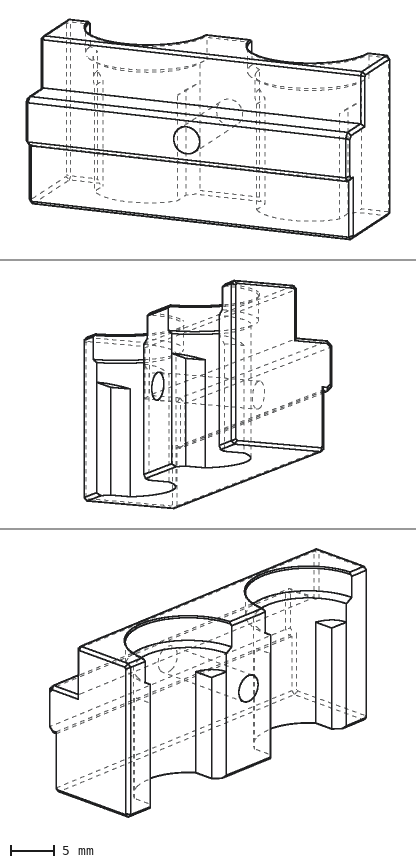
import cadquery as cq
import math

LENGTH = 40.0
DEPTH = 12.7
HEIGHT = 19.0
EDGE_CHAMFER = 0.38

RAIL_BOTTOM = 7.1
RAIL_TOP = 12.9
RAIL_CHAMFER = 0.6
LOWER_FRONT = 1.0
UPPER_FRONT = 4.5

HOLE_DIAMETER = 3.2
HOLE_HEIGHT = (RAIL_BOTTOM + RAIL_TOP) / 2

CRADLE_CENTERS = (LENGTH / 4, 3 * LENGTH / 4)
SLOPE = math.tan(math.radians(30))
MOUTH_RADIUS = 7.2
MOUTH_CHAMFER_WIDTH = 0.1
MOUTH_CHAMFER_HEIGHT = 0.2
SEAT_RADIUS = 6.3
CONE_TOP = 16.0
CONE_BOTTOM = CONE_TOP - (MOUTH_RADIUS - SEAT_RADIUS) * SLOPE

LIP_HALF_GAP = 5.1
LIP_TOP = 13.2
LIP_WIDTH = SEAT_RADIUS - LIP_HALF_GAP
LIP_SHOULDER = LIP_TOP - LIP_WIDTH * SLOPE


def make_block():
    """Stepped bar with its outer edges, rail edges and ends chamfered."""
    profile = [
        (LOWER_FRONT, 0),
        (DEPTH, 0),
        (DEPTH, HEIGHT),
        (UPPER_FRONT, HEIGHT),
        (UPPER_FRONT, RAIL_TOP),
        (0, RAIL_TOP),
        (0, RAIL_BOTTOM),
        (LOWER_FRONT, RAIL_BOTTOM),
    ]
    block = cq.Workplane("YZ").polyline(profile).close().extrude(LENGTH)
    block = block.faces("<Y").edges("|X").chamfer(RAIL_CHAMFER)
    block = block.faces("<Z or >Z").edges("|X").chamfer(EDGE_CHAMFER)
    return block.faces("<X or >X").edges().chamfer(EDGE_CHAMFER)


def make_cradle_cutter():
    """Stepped round bore about Z, less the two lips at its open side."""
    bore_profile = [
        (0, 0),
        (SEAT_RADIUS, 0),
        (SEAT_RADIUS, CONE_BOTTOM),
        (MOUTH_RADIUS, CONE_TOP),
        (MOUTH_RADIUS, HEIGHT - MOUTH_CHAMFER_HEIGHT),
        (MOUTH_RADIUS + MOUTH_CHAMFER_WIDTH, HEIGHT),
        (0, HEIGHT),
    ]
    bore = cq.Workplane("XZ").polyline(bore_profile).close().revolve(360, (0, 0), (0, 1))

    lip_section = [
        (LIP_HALF_GAP, 0),
        (SEAT_RADIUS, 0),
        (SEAT_RADIUS, LIP_TOP),
        (LIP_HALF_GAP, LIP_SHOULDER),
    ]
    lip_outline = [
        (SEAT_RADIUS, 0),
        (LIP_HALF_GAP, -LIP_WIDTH),
        (LIP_HALF_GAP, -SEAT_RADIUS),
        (SEAT_RADIUS, -SEAT_RADIUS),
    ]
    lip = cq.Workplane("XZ").polyline(lip_section).close().extrude(SEAT_RADIUS)
    lip = lip.intersect(cq.Workplane("XY").polyline(lip_outline).close().extrude(LIP_TOP))
    return bore.cut(lip).cut(lip.mirror("YZ"))


def make_screw_hole():
    hole = cq.Workplane("XZ").center(LENGTH / 2, HOLE_HEIGHT).circle(HOLE_DIAMETER / 2)
    return hole.extrude(-DEPTH)


result = make_block().cut(make_screw_hole())
cradle_cutter = make_cradle_cutter()
for center_x in CRADLE_CENTERS:
    result = result.cut(cradle_cutter.translate((center_x, DEPTH, 0)))